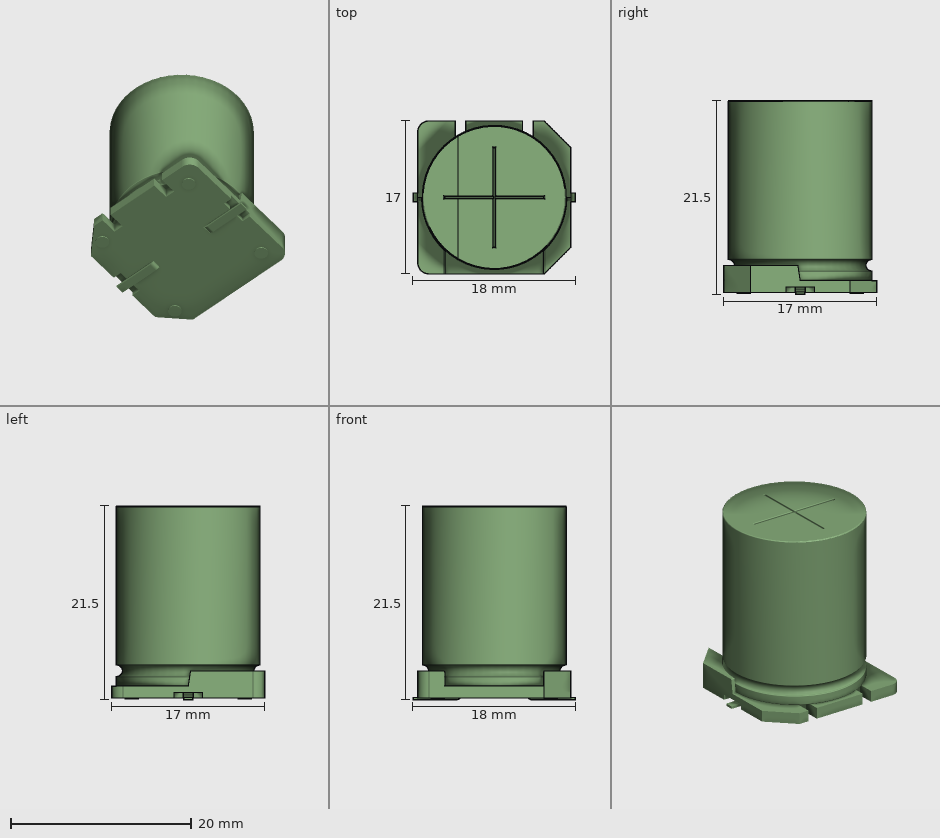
import cadquery as cq
import math

BASE_SIDE = 17.0
BASE_BOTTOM = 0.2
LEDGE_TOP = 1.5
WALL_TOP = 3.2
BASE_CORNER_RADIUS = 1.3
BASE_CORNER_CHAMFER = 2.97
STEP_EDGE_RADIUS = 0.09
WINDOW_EDGE_RADIUS = 0.15
WINDOW_CORNER_RADIUS = 0.09
STEP_SLOPE_RUN = 0.25
WINDOW_WIDTH = 10.96
SEAT_CLEARANCE = 0.06
FOOT_DIAMETER = 1.5
FOOT_HEIGHT = 0.1
FOOT_OFFSET = 6.25
SLOT_WIDTH = 1.16
SLOT_OFFSET = 3.75
SLOT_END_Y = 6.45

CAN_DIAMETER = 16.0
CAN_TOP = 21.5
CAN_EDGE_RADIUS = 0.1
GROOVE_RADIUS = 0.62
GROOVE_LIP_RADIUS = 0.06
GROOVE_Z = 3.22

SCORE_LENGTH = 11.1
SCORE_WIDTH = 0.25
SCORE_DEPTH = 0.22
SCORE_EDGE_RADIUS = 0.09

MARK_EDGE_X = -4.0

LEAD_SPAN = 18.0
LEAD_WIDTH = 1.0
LEAD_THICKNESS = 0.28
LEAD_BEND_RADIUS = 0.25
LEAD_INNER_X = 3.63
LEAD_POCKET_WIDTH = 3.2
LEAD_POCKET_DEPTH = 1.0
LEAD_POCKET_TOP = 0.82
LEAD_CHANNEL_WIDTH = 1.18

HALF_SIDE = BASE_SIDE / 2
CAN_RADIUS = CAN_DIAMETER / 2


def block(x_range, y_range, z_range):
    """Box spanning the given (low, high) ranges."""
    sizes = [high - low for low, high in (x_range, y_range, z_range)]
    return cq.Workplane("XY").box(*sizes, centered=False).translate((x_range[0], y_range[0], z_range[0]))


def mirrored_pair(shape):
    """The shape and its mirror image across the YZ plane."""
    return [shape, shape.mirror("YZ")]


def make_base_blank():
    """Square block with rounded -X corners and chamfered +X corners."""
    return (
        cq.Workplane("XY")
        .workplane(offset=BASE_BOTTOM)
        .rect(BASE_SIDE, BASE_SIDE)
        .extrude(WALL_TOP - BASE_BOTTOM)
        .edges("|Z and <X")
        .fillet(BASE_CORNER_RADIUS)
        .edges("|Z and >X")
        .chamfer(BASE_CORNER_CHAMFER)
    )


def cut_ledge(base):
    """Lower the +Y half, leaving a sloped step with a rounded top edge."""
    step = (
        cq.Workplane("YZ")
        .moveTo(0, LEDGE_TOP)
        .lineTo(HALF_SIDE, LEDGE_TOP)
        .lineTo(HALF_SIDE, WALL_TOP)
        .lineTo(-STEP_SLOPE_RUN, WALL_TOP)
        .close()
        .extrude(HALF_SIDE, both=True)
    )
    return base.cut(step).faces(">Z").edges(">Y").fillet(STEP_EDGE_RADIUS)


def cut_window(base):
    """Open the -Y side of the wall, with rounded top edges and bottom corners."""
    half_window = WINDOW_WIDTH / 2
    window = (
        block((-half_window, half_window), (-HALF_SIDE, 0), (LEDGE_TOP, WALL_TOP))
        .edges("|Y and <Z")
        .fillet(WINDOW_CORNER_RADIUS)
    )
    margin = 0.22
    rim = cq.selectors.BoxSelector(
        (-half_window - margin, -HALF_SIDE, WALL_TOP - margin), (half_window + margin, 0, WALL_TOP + margin)
    )
    return base.cut(window).faces(">Z").edges("|Y").edges(rim).fillet(WINDOW_EDGE_RADIUS)


def cut_can_seat(base):
    """Round seat for the can, down to the ledge."""
    seat = (
        cq.Workplane("XY")
        .workplane(offset=LEDGE_TOP)
        .circle(CAN_RADIUS + SEAT_CLEARANCE)
        .extrude(WALL_TOP - LEDGE_TOP)
    )
    return base.cut(seat)


def cut_rear_slots(base):
    """Two open slots through the +Y edge."""
    slot = block(
        (SLOT_OFFSET - SLOT_WIDTH / 2, SLOT_OFFSET + SLOT_WIDTH / 2),
        (SLOT_END_Y, HALF_SIDE),
        (BASE_BOTTOM, LEDGE_TOP),
    )
    for cutter in mirrored_pair(slot):
        base = base.cut(cutter)
    return base


def cut_lead_pockets(base):
    """Wide pocket at each end, narrowing to the channel that holds the lead."""
    pocket = block(
        (-HALF_SIDE, -HALF_SIDE + LEAD_POCKET_DEPTH),
        (-LEAD_POCKET_WIDTH / 2, LEAD_POCKET_WIDTH / 2),
        (BASE_BOTTOM, LEAD_POCKET_TOP),
    )
    channel = block(
        (-HALF_SIDE, -LEAD_INNER_X),
        (-LEAD_CHANNEL_WIDTH / 2, LEAD_CHANNEL_WIDTH / 2),
        (BASE_BOTTOM, LEAD_POCKET_TOP),
    )
    for cutter in mirrored_pair(pocket.union(channel)):
        base = base.cut(cutter)
    return base


def add_feet(base):
    """Round foot under each corner."""
    feet = (
        cq.Workplane("XY")
        .workplane(offset=BASE_BOTTOM - FOOT_HEIGHT)
        .rect(2 * FOOT_OFFSET, 2 * FOOT_OFFSET, forConstruction=True)
        .vertices()
        .circle(FOOT_DIAMETER / 2)
        .extrude(FOOT_HEIGHT)
    )
    return base.union(feet)


def make_base():
    """Base with its stepped wall, can seat, slots, lead pockets and feet."""
    base = cut_ledge(make_base_blank())
    base = cut_window(base)
    base = cut_can_seat(base)
    base = cut_rear_slots(base)
    base = cut_lead_pockets(base)
    return add_feet(base)


def make_can_blank():
    """Round can with rounded ends and a rounded groove near the bottom."""
    groove_reach = GROOVE_RADIUS + GROOVE_LIP_RADIUS
    lip_start = CAN_RADIUS - GROOVE_LIP_RADIUS
    profile = (
        cq.Workplane("XZ")
        .moveTo(0, LEDGE_TOP)
        .lineTo(CAN_RADIUS - CAN_EDGE_RADIUS, LEDGE_TOP)
        .radiusArc((CAN_RADIUS, LEDGE_TOP + CAN_EDGE_RADIUS), -CAN_EDGE_RADIUS)
        .lineTo(CAN_RADIUS, GROOVE_Z - groove_reach)
        .radiusArc((lip_start, GROOVE_Z - GROOVE_RADIUS), -GROOVE_LIP_RADIUS)
        .threePointArc((CAN_RADIUS - groove_reach, GROOVE_Z), (lip_start, GROOVE_Z + GROOVE_RADIUS))
        .radiusArc((CAN_RADIUS, GROOVE_Z + groove_reach), -GROOVE_LIP_RADIUS)
        .lineTo(CAN_RADIUS, CAN_TOP - CAN_EDGE_RADIUS)
        .radiusArc((CAN_RADIUS - CAN_EDGE_RADIUS, CAN_TOP), -CAN_EDGE_RADIUS)
        .lineTo(0, CAN_TOP)
        .close()
    )
    return profile.revolve(360, (0, 0), (0, 1))


def cut_vent_score(can):
    """Score a cross into the top face, with rounded rim and floor edges."""
    top_plane = cq.Workplane("XY").workplane(offset=CAN_TOP)
    bar = top_plane.rect(SCORE_LENGTH, SCORE_WIDTH).extrude(-SCORE_DEPTH)
    cross = bar.union(top_plane.rect(SCORE_WIDTH, SCORE_LENGTH).extrude(-SCORE_DEPTH))
    cross = cross.faces("<Z").edges().fillet(SCORE_EDGE_RADIUS)
    return can.cut(cross).faces(">Z").edges("%LINE").fillet(SCORE_EDGE_RADIUS)


def make_mark_zone():
    """Block enclosing the part of the can top that forms the polarity mark."""
    return block((-CAN_RADIUS, MARK_EDGE_X), (-CAN_RADIUS, CAN_RADIUS), (CAN_TOP - CAN_EDGE_RADIUS, CAN_TOP))


def make_lead():
    """Flat strip on the -X side, bent upright at its inner end."""
    outer_radius = LEAD_BEND_RADIUS + LEAD_THICKNESS
    diagonal = math.sqrt(0.5)
    bend_x = -LEAD_INNER_X - outer_radius
    return (
        cq.Workplane("XZ")
        .moveTo(-LEAD_SPAN / 2, 0)
        .lineTo(bend_x, 0)
        .threePointArc(
            (bend_x + outer_radius * diagonal, outer_radius * (1 - diagonal)), (-LEAD_INNER_X, outer_radius)
        )
        .lineTo(-LEAD_INNER_X, LEAD_POCKET_TOP)
        .lineTo(-LEAD_INNER_X - LEAD_THICKNESS, LEAD_POCKET_TOP)
        .lineTo(-LEAD_INNER_X - LEAD_THICKNESS, outer_radius)
        .threePointArc(
            (bend_x + LEAD_BEND_RADIUS * diagonal, outer_radius - LEAD_BEND_RADIUS * diagonal),
            (bend_x, LEAD_THICKNESS),
        )
        .lineTo(-LEAD_SPAN / 2, LEAD_THICKNESS)
        .close()
        .extrude(LEAD_WIDTH / 2, both=True)
    )


base = make_base()
marked_can = cut_vent_score(make_can_blank())
mark_zone = make_mark_zone()
can = marked_can.cut(mark_zone)
mark = marked_can.intersect(mark_zone)
leads = mirrored_pair(make_lead())

result = cq.Compound.makeCompound([base.val(), can.val(), mark.val(), *[lead.val() for lead in leads]])